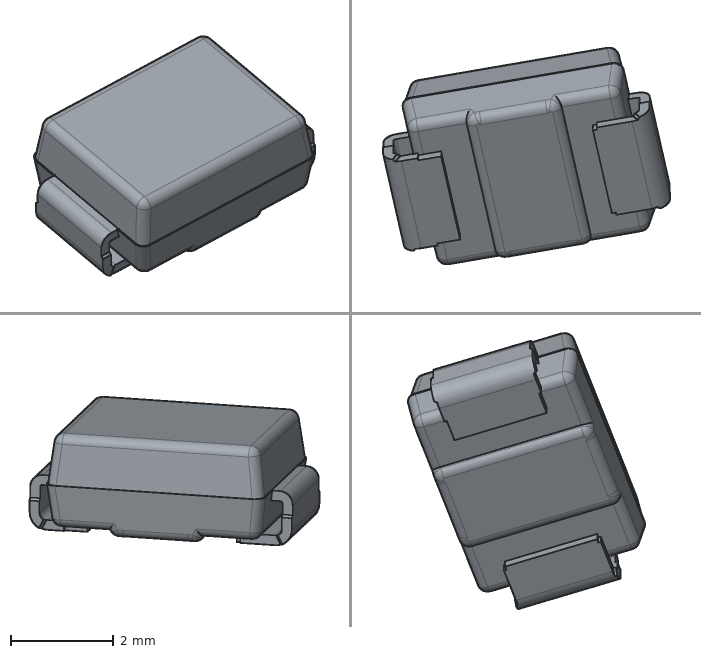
import cadquery as cq
import math

top_z = 2.1
parting_z = 1.1
underside_z = 0.23
boss_z = 0.1

base_width = 3.5
base_length = 4.4
ledge = 0.0185
cover_width = base_width - 2 * ledge
cover_length = base_length - 2 * ledge
housing_y = -0.04
draft = 7.0
edge_radius = 0.2

boss_length = 1.75
boss_end_slope = 30.0

span = 5.3
strip = 0.2
lead_width = 2.0
shoulder = 0.05
shoulder_flare = 45.0
shoulder_z = 0.585
shoulder_bend_angle = 27.0
foot_reach = 1.14
upper_bend = 0.255
lower_bend = 0.355
tip_inset = shoulder
rear_tip_length = 0.455
front_tip_length = 0.08


def drafted_block(width, length, height):
    """Sharp-edged block tapering away from the parting plane; a negative height hangs below it."""
    return (
        cq.Workplane("XY", origin=(0, housing_y, parting_z))
        .rect(width, length)
        .extrude(height, taper=draft)
    )


def round_edges(block, end_face):
    """Round the upright edges of a block, then the rim of its end face."""
    rounded = block.edges("not(#Z)").fillet(edge_radius)
    return rounded.faces(end_face).edges().fillet(edge_radius)


def boss_block():
    """Block reaching below the base between two steeply sloped end walls."""
    depth = parting_z - boss_z
    half_bottom = boss_length / 2
    half_root = half_bottom + depth * math.tan(math.radians(boss_end_slope))
    wedge = (
        cq.Workplane("YZ", origin=(0, housing_y, 0))
        .polyline([
            (-half_root, parting_z),
            (half_root, parting_z),
            (half_bottom, boss_z),
            (-half_bottom, boss_z),
        ])
        .close()
        .extrude(base_width, both=True)
    )
    return drafted_block(base_width, base_length, -depth).intersect(wedge)


def strip_profile():
    """Side outline of the lead: arm, upper bend, upright, lower bend and foot."""
    outer = -span / 2
    inner = outer + strip
    tip = outer + foot_reach
    return (
        cq.Workplane("YZ")
        .moveTo(tip, parting_z)
        .lineTo(outer + upper_bend, parting_z)
        .radiusArc((outer, parting_z - upper_bend), -upper_bend)
        .lineTo(outer, lower_bend)
        .radiusArc((outer + lower_bend, 0), -lower_bend)
        .lineTo(tip, 0)
        .lineTo(tip, strip)
        .lineTo(outer + lower_bend, strip)
        .radiusArc((inner, lower_bend), lower_bend - strip)
        .lineTo(inner, parting_z - upper_bend)
        .radiusArc((outer + upper_bend, parting_z - strip), upper_bend - strip)
        .lineTo(tip, parting_z - strip)
        .close()
    )


def shoulder_zone(side):
    """Wedge that bounds one shoulder, flaring towards the strip."""
    bend_y = -span / 2 + lower_bend
    angle = math.radians(shoulder_bend_angle)
    reach = 2 * lower_bend
    low_y = bend_y - reach * math.sin(angle)
    low_z = lower_bend - reach * math.cos(angle)
    face_x = side * (lead_width / 2 + shoulder)
    return (
        cq.Workplane("YZ", origin=(face_x, 0, 0))
        .polyline([
            (bend_y, shoulder_z),
            (bend_y - reach, shoulder_z),
            (bend_y - reach, low_z),
            (low_y, low_z),
            (bend_y, lower_bend),
        ])
        .close()
        .extrude(-side * shoulder, taper=-shoulder_flare)
    )


def lead(tip_length):
    """Front lead, with a wider band on the upright and a narrower foot tip."""
    full_width = lead_width + 2 * shoulder
    body = strip_profile().extrude(lead_width / 2, both=True)
    band = strip_profile().extrude(full_width / 2, both=True)
    for side in (-1, 1):
        body = body.union(band.intersect(shoulder_zone(side)))
        notch = cq.Workplane("XY").box(tip_inset, tip_length, strip, centered=(True, False, False))
        notch_x = side * (lead_width - tip_inset) / 2
        body = body.cut(notch.translate((notch_x, -span / 2 + foot_reach - tip_length, 0)))
    return body


cover = round_edges(drafted_block(cover_width, cover_length, top_z - parting_z), ">Z")
front_lead = lead(front_tip_length)
rear_lead = lead(rear_tip_length).rotate((0, 0, 0), (0, 0, 1), 180)

base = round_edges(drafted_block(base_width, base_length, underside_z - parting_z), "<Z")
base = base.union(round_edges(boss_block(), "<Z")).cut(front_lead).cut(rear_lead)

result = cq.Compound.makeCompound([cover.val(), base.val(), front_lead.val(), rear_lead.val()])